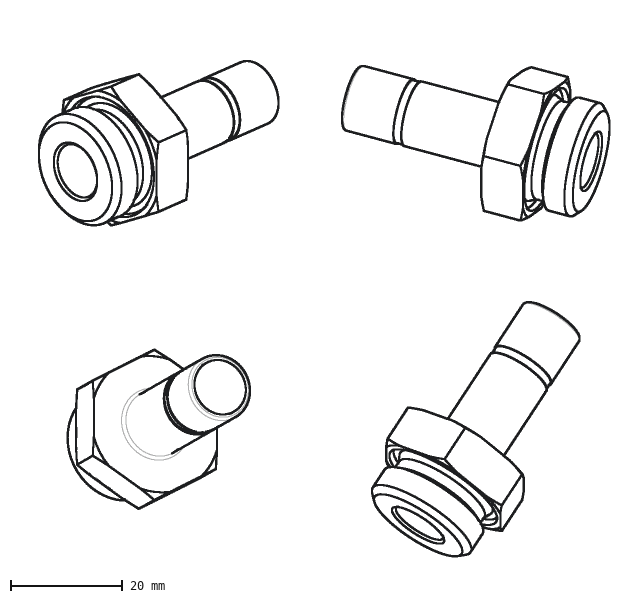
import cadquery as cq
import math

total_length = 45.5
thread_crest_end = 5.25
neck_flare_start = 8.0
collar_length = 8.5
hex_length = 7.95
hex_end = collar_length + hex_length
groove_distance = 9.95
groove_width = 1.5
groove_end = total_length - groove_distance
groove_start = groove_end - groove_width

thread_diameter = 20.98
neck_diameter = 18.2
tube_diameter = 12.0
groove_diameter = 11.7
bore_diameter = 10.0

across_corners = 27.7
hex_face_diameter = 25.02
hex_chamfer_angle = 20.0

recess_diameter = 22.65
recess_floor_diameter = 22.1
recess_depth = 1.0

thread_chamfer = 1.2
neck_shoulder_angle = 62.0
neck_flare_angle = 25.0
root_radius = 0.6
tip_radius = 0.5
bore_chamfer = 0.5


def revolve_about_y(profile):
    """Turn a closed (radius, Y) profile drawn in the XY plane about the Y axis."""
    return profile.close().revolve(360, (0, 0, 0), (0, 1, 0))


def fillet_midpoint(center_x, center_y, radius, x_sign, y_sign):
    """Middle point of a quarter arc in the quadrant given by the two signs."""
    offset = radius * math.sqrt(0.5)
    return (center_x + x_sign * offset, center_y + y_sign * offset)


def turned_body():
    """Threaded collar with its relief neck, flared into the hexagon, and the grooved tube behind it."""
    thread_r = thread_diameter / 2
    neck_r = neck_diameter / 2
    tube_r = tube_diameter / 2
    groove_r = groove_diameter / 2
    neck_start = thread_crest_end + (thread_r - neck_r) / math.tan(math.radians(neck_shoulder_angle))
    recess_floor = collar_length + recess_depth
    flare_length = recess_floor - neck_flare_start
    flare_r = neck_r + flare_length * math.tan(math.radians(neck_flare_angle))
    tube_root = (tube_r + root_radius, hex_end + root_radius)
    tip_center = (tube_r - tip_radius, total_length - tip_radius)
    profile = (
        cq.Workplane("XY")
        .lineTo(thread_r - thread_chamfer, 0)
        .lineTo(thread_r, thread_chamfer)
        .lineTo(thread_r, thread_crest_end)
        .lineTo(neck_r, neck_start)
        .lineTo(neck_r, neck_flare_start)
        .lineTo(flare_r, recess_floor)
        .lineTo(flare_r, hex_end)
        .lineTo(tube_root[0], hex_end)
        .threePointArc(fillet_midpoint(*tube_root, root_radius, -1, -1), (tube_r, tube_root[1]))
        .lineTo(tube_r, groove_start)
        .lineTo(groove_r, groove_start)
        .lineTo(groove_r, groove_end)
        .lineTo(tube_r, groove_end)
        .lineTo(tube_r, tip_center[1])
        .threePointArc(fillet_midpoint(*tip_center, tip_radius, 1, 1), (tip_center[0], total_length))
        .lineTo(0, total_length)
    )
    return revolve_about_y(profile)


def hexagon():
    """Hexagon with corners chamfered at both ends and a recess in the front face."""
    prism = (
        cq.Workplane("XZ", origin=(0, collar_length, 0))
        .transformed(rotate=(0, 0, 90))
        .polygon(6, across_corners)
        .extrude(-hex_length)
    )
    face_r = hex_face_diameter / 2
    corner_r = across_corners / 2
    corner_setback = (corner_r - face_r) * math.tan(math.radians(hex_chamfer_angle))
    envelope = revolve_about_y(
        cq.Workplane("XY")
        .moveTo(0, collar_length)
        .lineTo(face_r, collar_length)
        .lineTo(corner_r, collar_length + corner_setback)
        .lineTo(corner_r, hex_end - corner_setback)
        .lineTo(face_r, hex_end)
        .lineTo(0, hex_end)
    )
    recess = revolve_about_y(
        cq.Workplane("XY")
        .moveTo(0, collar_length)
        .lineTo(recess_diameter / 2, collar_length)
        .lineTo(recess_floor_diameter / 2, collar_length + recess_depth)
        .lineTo(0, collar_length + recess_depth)
    )
    return prism.intersect(envelope).cut(recess)


def bore():
    """Through bore with a chamfered mouth at the threaded end."""
    bore_r = bore_diameter / 2
    return revolve_about_y(
        cq.Workplane("XY")
        .lineTo(bore_r + bore_chamfer, 0)
        .lineTo(bore_r, bore_chamfer)
        .lineTo(bore_r, total_length)
        .lineTo(0, total_length)
    )


result = hexagon().union(turned_body()).cut(bore())